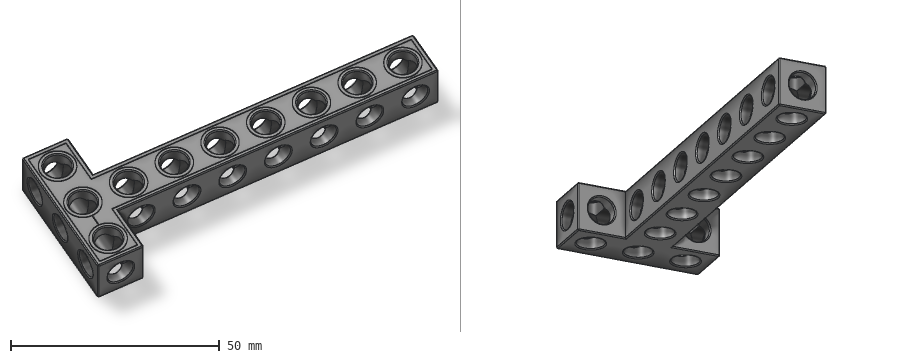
import cadquery as cq

pitch = 12.5
stem_cells = 8
bar_cells = 3
hole_diameter = 7.0
collar_diameter = 9.2
rim_width = 1.1
recess_depth = 0.2
rib_width = 0.1
edge_chamfer = 0.3

length = stem_cells * pitch
bar_width = bar_cells * pitch
height = pitch

bar_row = -length / 2 + pitch / 2
stem_rows = [bar_row + i * pitch for i in range(stem_cells)]
bar_columns = [(i - (bar_cells - 1) / 2) * pitch for i in range(bar_cells)]
cells = [(x, bar_row) for x in bar_columns] + [(0, y) for y in stem_rows[1:]]


def tee(inset, thickness):
    """T-shaped plate whose outline is drawn in by the given inset, standing on Z = 0."""
    bar = cq.Workplane("XY").box(
        bar_width - 2 * inset, pitch - 2 * inset, thickness, centered=(True, True, False)
    ).translate((0, bar_row, 0))
    stem = cq.Workplane("XY").box(
        pitch - 2 * inset, length - 2 * inset, thickness, centered=(True, True, False)
    )
    return bar.union(stem)


def top_recess():
    """Shallow pocket inside the rim, leaving a collar round each hole and one linking rib."""
    collars = cq.Workplane("XY").pushPoints(cells).circle(collar_diameter / 2).extrude(recess_depth)
    rib = cq.Workplane("XY").box(
        pitch, rib_width, recess_depth, centered=(False, True, False)
    ).translate((0, bar_row, 0))
    pocket = tee(rim_width, recess_depth).cut(collars).cut(rib)
    return pocket.translate((0, 0, height - recess_depth))


def through_holes():
    """Round holes along Z, X and Y through the middle of every cell."""
    radius = hole_diameter / 2
    vertical = cq.Workplane("XY").pushPoints(cells).circle(radius).extrude(height)
    crosswise = (
        cq.Workplane("YZ")
        .pushPoints([(y, height / 2) for y in stem_rows])
        .circle(radius)
        .extrude(bar_width, both=True)
    )
    lengthwise = (
        cq.Workplane("XZ")
        .pushPoints([(x, height / 2) for x in bar_columns])
        .circle(radius)
        .extrude(length, both=True)
    )
    return vertical.union(crosswise).union(lengthwise)


def chamfered_tee():
    """Full-height T with every outer edge bevelled and the two inside corners left sharp."""
    inside_corners = cq.selectors.BoxSelector(
        (-pitch, bar_row, height / 4), (pitch, bar_row + pitch, 3 * height / 4)
    )
    body = tee(0, height)
    return body.edges(cq.selectors.InverseSelector(inside_corners)).chamfer(edge_chamfer)


drilled = chamfered_tee().cut(through_holes())
result = drilled.edges("%CIRCLE").chamfer(edge_chamfer).cut(top_recess())